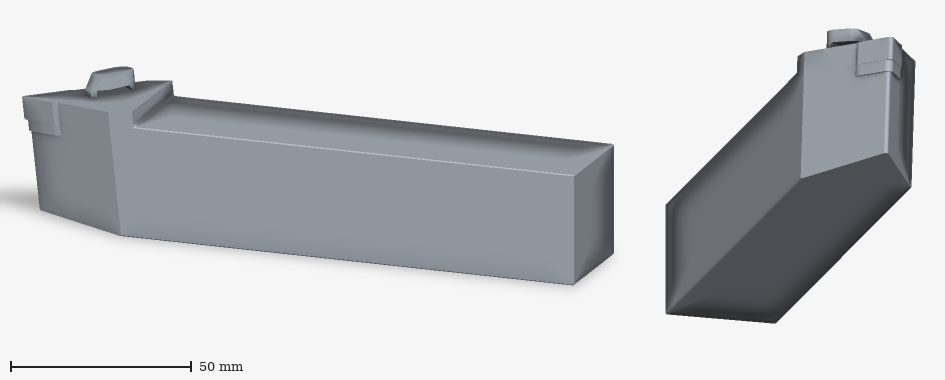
import cadquery as cq
import math

overall_length = 169.07
overall_height = 40.97
shank_width = 32.0
shank_height = 32.0
shank_chamfer = 0.3

tilt = 6.3
tip_height = 32.15
head_length = 38.6
step_fillet = 1.0

half_angle = 27.5
inscribed_diameter = 12.7
insert_thickness = 6.35
insert_nose_radius = 0.8
insert_blend_radius = 0.8

shim_thickness = 3.18
shim_nose_setback = 1.1
shim_nose_radius = 1.5
shim_blunt_radius = 5.5

holder_nose_setback = 1.7
holder_nose_radius = 0.8

clamp_angle = 45.0
clamp_pivot = (26.6, 6.5)
clamp_radius = 4.4
clamp_gap = 1.9
clamp_nose_height = 1.5
clamp_nose_width = 3.9
clamp_nose_front = -9.65
clamp_foot_back = -8.1
clamp_slope_top = -6.3
clamp_taper_start = -4.9
clamp_heel_top = 1.2
clamp_heel_foot = 2.4

sin_half = math.sin(math.radians(half_angle))
tan_half = math.tan(math.radians(half_angle))
sin_tilt = math.sin(math.radians(tilt))
cos_tilt = math.cos(math.radians(tilt))
insert_half_length = inscribed_diameter / 2 / sin_half
insert_center = insert_half_length - insert_nose_radius * (1 / sin_half - 1)
clamp_crest = clamp_pivot[0] + clamp_radius
clamp_height = (overall_height - tip_height - clamp_crest * sin_tilt) / cos_tilt


def seat(body):
    """Move a body from the head frame (tip at the origin, top face at z = 0) into place."""
    return body.rotate((0, 0, 0), (0, 1, 0), -tilt).translate((0, 0, tip_height))


def nose_apex(setback, radius):
    """Sharp apex of a wedge whose rounded nose lies at the given setback from the tip."""
    return setback - radius * (1 / sin_half - 1)


def rhombus(center, half_length, top, thickness):
    """55 degree rhombic plate, long diagonal along X, in the head frame."""
    half_width = half_length * tan_half
    return (
        cq.Workplane("XY", origin=(center, 0, top - thickness))
        .polyline([(-half_length, 0), (0, -half_width), (half_length, 0), (0, half_width)])
        .close()
        .extrude(thickness)
    )


def insert_blank():
    """Insert in the head frame: a rhombus with flats at its blunt corners, all corners rounded."""
    band = (
        cq.Workplane("XY", origin=(insert_center, 0, -insert_thickness))
        .rect(2 * insert_half_length, inscribed_diameter)
        .extrude(insert_thickness)
    )
    plate = rhombus(insert_center, insert_half_length, 0, insert_thickness).intersect(band)
    plate = plate.edges("|Z and (<X or >X)").fillet(insert_nose_radius)
    return plate.edges("|Z and (<Y or >Y)").fillet(insert_blend_radius)


def shim_blank():
    """Shim under the insert, in the head frame."""
    apex = nose_apex(shim_nose_setback, shim_nose_radius)
    plate = rhombus(insert_center, insert_center - apex, -insert_thickness, shim_thickness)
    plate = plate.edges("|Z and (<X or >X)").fillet(shim_nose_radius)
    return plate.edges("|Z and (<Y or >Y)").fillet(shim_blunt_radius)


def pocket():
    """Seat in the head frame: the insert outline, sunk further to take the shim."""
    return insert_blank().union(insert_blank().translate((0, 0, -shim_thickness)))


def clamp_blank():
    """Clamp in the head frame: round rear, tapered nose with a sloped top, arched underside."""
    nose_half = clamp_nose_width / 2
    plan = (
        cq.Workplane("XY")
        .moveTo(clamp_nose_front, -nose_half)
        .lineTo(clamp_taper_start, -clamp_radius)
        .lineTo(0, -clamp_radius)
        .threePointArc((clamp_radius, 0), (0, clamp_radius))
        .lineTo(clamp_taper_start, clamp_radius)
        .lineTo(clamp_nose_front, nose_half)
        .close()
        .extrude(clamp_height)
    )
    profile = (
        cq.Workplane("XZ")
        .polyline([
            (clamp_nose_front, 0),
            (clamp_foot_back, 0),
            (clamp_foot_back, clamp_gap),
            (clamp_heel_top, clamp_gap),
            (clamp_heel_foot, 0),
            (clamp_radius, 0),
            (clamp_radius, clamp_height),
            (clamp_slope_top, clamp_height),
            (clamp_nose_front, clamp_nose_height),
        ])
        .close()
        .extrude(clamp_radius, both=True)
    )
    return (
        plan.intersect(profile)
        .rotate((0, 0, 0), (0, 0, 1), clamp_angle)
        .translate((clamp_pivot[0], clamp_pivot[1], 0))
    )


def head_wedge():
    """Plan of the holder in the head frame: a wedge that opens backwards past the whole shank."""
    apex = nose_apex(holder_nose_setback, holder_nose_radius)
    reach = 1.5 * overall_length
    half_width = (reach - apex) * tan_half
    return (
        cq.Workplane("XY", origin=(0, 0, -reach))
        .polyline([(apex, 0), (reach, -half_width), (reach, half_width)])
        .close()
        .extrude(reach)
        .edges("|Z and <X")
        .fillet(holder_nose_radius)
    )


def holder_body():
    """Shank and head with the pocket, the shim and the clamp."""
    peak_x = head_length * cos_tilt
    peak_z = tip_height + head_length * sin_tilt
    step_x = peak_x + (peak_z - shank_height) * sin_tilt / cos_tilt
    body = (
        cq.Workplane("XZ")
        .polyline([
            (0, 0),
            (overall_length, 0),
            (overall_length, shank_height),
            (step_x, shank_height),
            (peak_x, peak_z),
            (0, tip_height),
        ])
        .close()
        .extrude(shank_width / 2, both=True)
        .intersect(seat(head_wedge()))
    )
    step_corner = cq.selectors.NearestToPointSelector((step_x, 0, shank_height))
    body = body.edges("|X or >X").chamfer(shank_chamfer)
    body = body.edges(step_corner).fillet(step_fillet)
    return body.cut(seat(pocket())).union(seat(shim_blank())).union(seat(clamp_blank()))


insert = seat(insert_blank())
holder = holder_body()

result = cq.Compound.makeCompound([holder.val(), insert.val()])